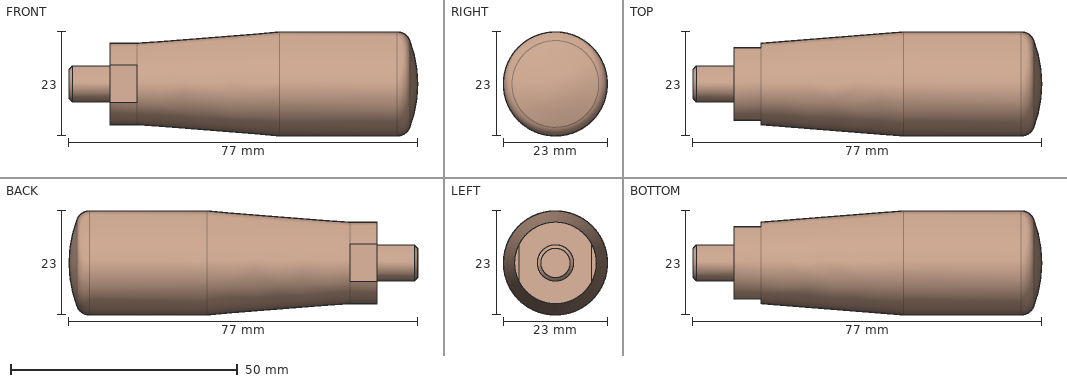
import cadquery as cq
import math

total_length = 77.0
pin_length = 9.0
collar_length = 6.0
taper_length = 31.5

pin_diameter = 8.0
pin_chamfer = 0.8
collar_diameter = 18.0
collar_across_flats = 16.0
grip_diameter = 23.0

crown_radius = 26.95
rim_radius = 3.0

pin_start = -total_length / 2
collar_start = pin_start + pin_length
taper_start = collar_start + collar_length
grip_start = taper_start + taper_length
end = total_length / 2
crown_center = end - crown_radius

rim_center_radius = grip_diameter / 2 - rim_radius
rim_start = crown_center + math.sqrt((crown_radius - rim_radius) ** 2 - rim_center_radius**2)
crown_edge_angle = math.atan2(rim_center_radius, rim_start - crown_center)


def make_pin():
    pin = cq.Workplane("YZ", origin=(pin_start, 0, 0)).circle(pin_diameter / 2).extrude(pin_length)
    return pin.faces("<X").chamfer(pin_chamfer)


def make_collar():
    """Round collar with two wrench flats facing +Y and -Y."""
    collar = cq.Workplane("YZ", origin=(collar_start, 0, 0)).circle(collar_diameter / 2).extrude(collar_length)
    flats = cq.Workplane("YZ", origin=(collar_start, 0, 0)).rect(collar_across_flats, collar_diameter)
    return collar.intersect(flats.extrude(collar_length))


def crown_point(angle):
    """Point of the crown at an angle (radians) from the handle axis."""
    return (crown_center + crown_radius * math.cos(angle), crown_radius * math.sin(angle))


def make_grip():
    """Tapered and cylindrical grip with a domed end, revolved about X."""
    profile = (
        cq.Workplane("XY")
        .moveTo(taper_start, 0)
        .lineTo(taper_start, collar_diameter / 2)
        .lineTo(grip_start, grip_diameter / 2)
        .lineTo(rim_start, grip_diameter / 2)
        .tangentArcPoint(crown_point(crown_edge_angle), relative=False)
        .threePointArc(crown_point(crown_edge_angle / 2), crown_point(0))
        .close()
    )
    return profile.revolve(360, (0, 0, 0), (1, 0, 0))


result = make_pin().union(make_collar()).union(make_grip())